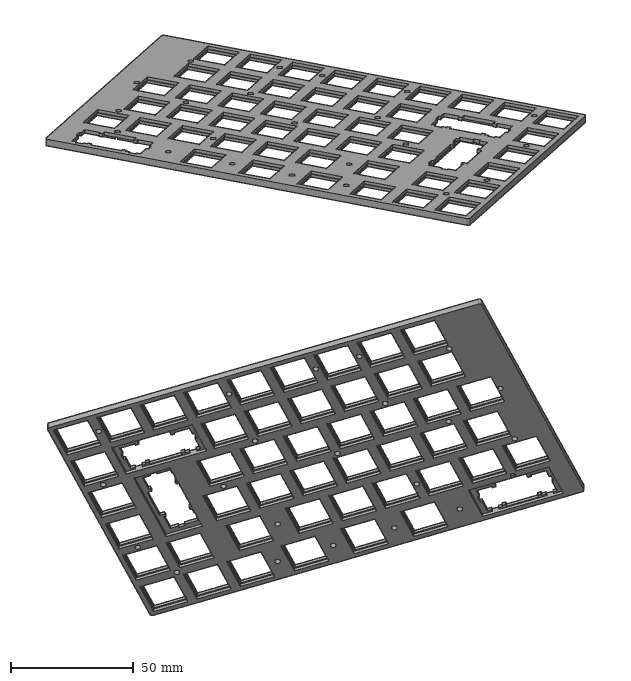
import cadquery as cq

KEY_PITCH = 19.05
UNITS_WIDE = 10
UNITS_DEEP = 6
PLATE_WIDTH = UNITS_WIDE * KEY_PITCH
PLATE_DEPTH = UNITS_DEEP * KEY_PITCH
PLATE_THICKNESS = 3.0
CORNER_RADIUS = 1.0

SWITCH_SIZE = 14.0
HOLE_DIAMETER = 2.3

LIP_THICKNESS = 1.5
SWITCH_RELIEF = 0.5
STABILIZER_RELIEF_HALF_WIDTH = 17.7
STABILIZER_RELIEF_BACK = 8.5

WING_OFFSET = 11.938
WING_HALF_WIDTH = 3.375
WING_BACK = 5.7
WING_FRONT = 6.55
BRIDGE_BACK = 4.9
BRIDGE_FRONT = 5.8
FOOT_HALF_WIDTH = 1.5
FOOT_FRONT = 7.4
WIRE_SLOT_REACH = 4.2
WIRE_SLOT_BACK = 2.15
WIRE_SLOT_FRONT = 0.65

SWITCH_ROWS = {
    0.5: [1.5, 2.5, 3.5, 4.5, 5.5, 6.5, 7.5, 8.5, 9.5],
    1.5: [1.5, 2.5, 3.5, 4.5, 5.5, 6.5, 9.5],
    2.5: [1, 2, 3, 4, 5, 6, 7, 9.5],
    3.5: [1.25, 2.25, 3.25, 4.25, 5.25, 6.25, 7.25, 9.5],
    4.5: [0.75, 1.75, 2.75, 3.75, 4.75, 5.75, 7.125, 8.5, 9.5],
    5.5: [3.5, 4.875, 6.25, 7.5, 8.5, 9.5],
}

STABILIZED_KEYS = [
    (8, 1.5, 0),
    (8.375, 3, -90),
    (1.375, 5.5, 0),
]

HOLE_ROWS = {
    0.5: [3, 4, 6, 9],
    1: [1.125],
    2: [3, 6, 9.5],
    2.5: [0.55],
    3: [1.9375, 4.5, 7.125],
    4: [0.8125, 9.5],
    4.47: [3.26, 6.465],
    5: [1.25, 9],
    5.5: [2.68, 4.185, 5.595, 6.875],
}


def grid_point(column, row):
    """Convert a place in key units to X and Y."""
    x = column * KEY_PITCH - PLATE_WIDTH / 2
    y = PLATE_DEPTH / 2 - row * KEY_PITCH
    return x, y


def row_points(rows):
    """List the X and Y of every place in a table of rows."""
    return [grid_point(column, row) for row, columns in rows.items() for column in columns]


def make_plate():
    plate = cq.Workplane("XY").box(PLATE_WIDTH, PLATE_DEPTH, PLATE_THICKNESS)
    return plate.edges("|Z").fillet(CORNER_RADIUS)


def block(x_min, x_max, y_min, y_max):
    """Make a cutter as thick as the plate over a rectangle in X and Y."""
    centre = ((x_min + x_max) / 2, (y_min + y_max) / 2)
    base = cq.Workplane("XY").center(*centre)
    return base.box(x_max - x_min, y_max - y_min, PLATE_THICKNESS)


def make_stabilizer_cutter():
    """Make the opening of a two-unit key: switch, bridges, wings, feet, wire slots and undercut."""
    half_switch = SWITCH_SIZE / 2
    wing_inner = WING_OFFSET - WING_HALF_WIDTH
    slot_end = WING_OFFSET + WIRE_SLOT_REACH

    cutter = block(-half_switch, half_switch, -half_switch, half_switch)
    cutter = cutter.union(block(-wing_inner, wing_inner, -BRIDGE_FRONT, BRIDGE_BACK))
    cutter = cutter.union(block(-slot_end, slot_end, -WIRE_SLOT_FRONT, WIRE_SLOT_BACK))
    for x in (-WING_OFFSET, WING_OFFSET):
        wing = block(x - WING_HALF_WIDTH, x + WING_HALF_WIDTH, -WING_FRONT, WING_BACK)
        foot = block(x - FOOT_HALF_WIDTH, x + FOOT_HALF_WIDTH, -FOOT_FRONT, 0)
        cutter = cutter.union(wing).union(foot)
    relief_end = STABILIZER_RELIEF_HALF_WIDTH
    relief = block(-relief_end, relief_end, -FOOT_FRONT, STABILIZER_RELIEF_BACK)
    return cutter.union(relief.translate((0, 0, -LIP_THICKNESS)))


def cut_switches(plate):
    """Cut the switch openings through the plate and widen them below the lip."""
    points = row_points(SWITCH_ROWS)
    openings = plate.faces(">Z").workplane(origin=(0, 0, 0)).pushPoints(points)
    plate = openings.rect(SWITCH_SIZE, SWITCH_SIZE).cutThruAll()
    relief_size = SWITCH_SIZE + 2 * SWITCH_RELIEF
    reliefs = cq.Workplane("XY", origin=(0, 0, -PLATE_THICKNESS / 2)).pushPoints(points)
    reliefs = reliefs.rect(relief_size, relief_size).extrude(PLATE_THICKNESS - LIP_THICKNESS)
    return plate.cut(reliefs)


def cut_stabilized_keys(plate):
    cutter = make_stabilizer_cutter()
    for column, row, angle in STABILIZED_KEYS:
        x, y = grid_point(column, row)
        plate = plate.cut(cutter.rotate((0, 0, 0), (0, 0, 1), angle).translate((x, y, 0)))
    return plate


def drill_holes(plate):
    centres = plate.faces(">Z").workplane(origin=(0, 0, 0)).pushPoints(row_points(HOLE_ROWS))
    return centres.hole(HOLE_DIAMETER)


plate_with_switches = cut_switches(make_plate())
plate_with_stabilizers = cut_stabilized_keys(plate_with_switches)
result = drill_holes(plate_with_stabilizers)